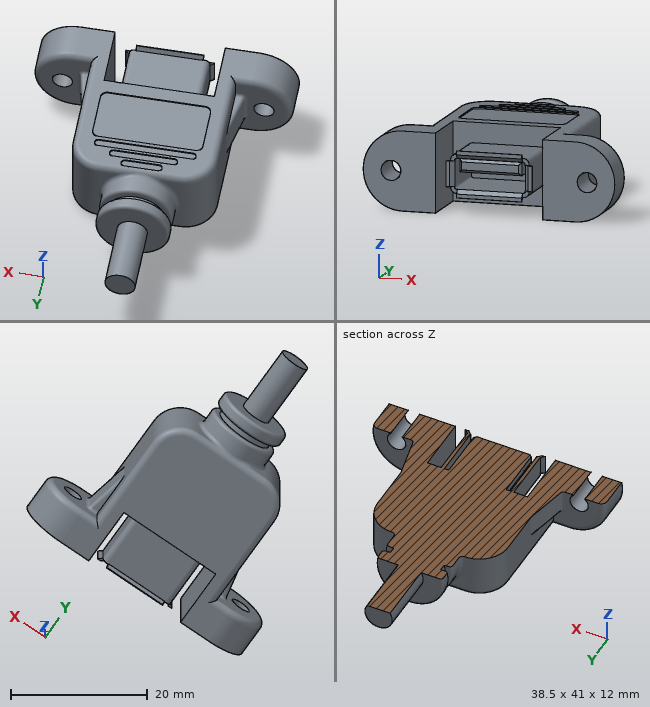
import cadquery as cq
import math


TOLERANCE = 0.001

HEIGHT = 12.0
FLANGE_WIDTH = 38.5
FLANGE_THICKNESS = 5.7
BODY_WIDTH = 21.5
BODY_END = 25.0
SHOULDER_RADIUS = 4.7
EDGE_FILLET = 1.0
HOLE_SPACING = 30.0
HOLE_DIAMETER = 3.0
BAY_WIDTH = 16.4
BAY_DEPTH = 9.0

GUSSET_ANGLE = 12.0
GUSSET_BASE = 1.5
GUSSET_HEIGHT = 5.3
GUSSET_EDGE_FILLET = 0.5
GUSSET_ROOT_FILLET = 0.5

COLLAR_DIAMETER = 11.0
COLLAR_END = 28.0
COLLAR_FILLET = 0.5
COLLAR_ROOT_FILLET = 0.6
NECK_DIAMETER = 8.7
RING_START = 29.0
RING_END = 31.0
CABLE_DIAMETER = 4.5
CABLE_END = 41.0

RECESS_DEPTH = 0.2
PANEL_WIDTH = BAY_WIDTH
PANEL_LENGTH = 8.2
PANEL_CENTER = 15.15
PANEL_RADIUS = 1.0
GRIP_WIDTH = 1.1
GRIP_LENGTHS = (15.1, 10.1, 6.1)
GRIP_FIRST = 20.35
GRIP_PITCH = 1.5

SHELL_WIDTH = 12.0
SHELL_HEIGHT = 5.85
SHELL_WALL = 0.6
SHELL_RADIUS = 0.85
CAVITY_RADIUS = 0.35
LIP_SETBACK = 1.0
SHELL_FRONT = 0.45
LIP_LENGTH = 0.55
LIP_EDGE = 0.1
TONGUE_WIDTH = 9.5
TONGUE_THICKNESS = 2.0
TONGUE_CENTER_Z = 1.2
TONGUE_FRONT = 0.6
TONGUE_CHAMFER = 0.4


def box_between(x_size, y_start, y_end, z_size):
    """Box centred on X and Z, spanning y_start to y_end."""
    return cq.Workplane("XY").box(x_size, y_end - y_start, z_size).translate((0, (y_start + y_end) / 2, 0))


def rod(diameter, y_start, y_end):
    """Cylinder along Y."""
    length = y_end - y_start
    return cq.Workplane("XZ", origin=(0, y_start, 0)).circle(diameter / 2).extrude(-length)


def lies_at_y(edge, y):
    """True if the whole edge lies in the plane Y = y."""
    box = edge.BoundingBox()
    return abs(box.ymin - y) < TOLERANCE and abs(box.ymax - y) < TOLERANCE


def is_beside_body(edge):
    """True if the edge is centred outside the sides of the body."""
    return abs(edge.Center().x) > BODY_WIDTH / 2 + TOLERANCE


def make_housing():
    """Rounded body on a full-round flange, with the rims of the body and flange rounded."""
    body = box_between(BODY_WIDTH, 0, BODY_END, HEIGHT)
    body = body.edges("|Z and >Y").fillet(SHOULDER_RADIUS)
    flange = cq.Workplane("XZ").slot2D(FLANGE_WIDTH, HEIGHT).extrude(-FLANGE_THICKNESS)
    housing = body.union(flange).clean()
    rim_edges = []
    for edge in housing.edges().vals():
        center = edge.Center()
        on_top_or_bottom = abs(abs(center.z) - HEIGHT / 2) < TOLERANCE
        on_body_rim = on_top_or_bottom and center.y > FLANGE_THICKNESS + TOLERANCE
        on_flange_rim = lies_at_y(edge, FLANGE_THICKNESS) and is_beside_body(edge)
        if on_body_rim or on_flange_rim:
            rim_edges.append(edge)
    return housing.newObject(rim_edges).fillet(EDGE_FILLET)


def make_gusset():
    """Sloped rib on the +X side of the body, rounded along its outer edges."""
    tan_slope = math.tan(math.radians(GUSSET_ANGLE))
    wall = BODY_WIDTH / 2
    inside = wall - EDGE_FILLET
    start = FLANGE_THICKNESS - EDGE_FILLET
    tip = FLANGE_THICKNESS + GUSSET_BASE / tan_slope
    outline = [
        (inside, start),
        (wall + (tip - start) * tan_slope, start),
        (inside, tip + EDGE_FILLET / tan_slope),
    ]
    gusset = cq.Workplane("XY").polyline(outline).close().extrude(GUSSET_HEIGHT / 2, both=True)
    return gusset.edges("not(|X or |Y or |Z)").fillet(GUSSET_EDGE_FILLET)


def add_gussets(housing):
    """Add both gussets and round their roots on the flanges."""
    gusset = make_gusset()
    housing = housing.union(gusset).union(gusset.mirror("YZ"))
    root_edges = []
    for edge in housing.edges().vals():
        on_flange = lies_at_y(edge, FLANGE_THICKNESS) and is_beside_body(edge)
        at_gusset = abs(edge.Center().z) < GUSSET_HEIGHT / 2 + TOLERANCE
        if on_flange and at_gusset:
            root_edges.append(edge)
    return housing.newObject(root_edges).fillet(GUSSET_ROOT_FILLET)


def add_collar(housing):
    """Add the collar behind the body and blend its root into the end of the body."""
    housing = housing.union(rod(COLLAR_DIAMETER, BAY_DEPTH, COLLAR_END))
    radius = COLLAR_DIAMETER / 2
    root_edges = []
    for edge in housing.edges().vals():
        box = edge.BoundingBox()
        at_root = box.ymin > BODY_END - EDGE_FILLET + TOLERANCE and box.ymax < BODY_END + TOLERANCE
        ends = (edge.startPoint(), edge.endPoint())
        on_collar = all(abs(math.hypot(p.x, p.z) - radius) < TOLERANCE for p in ends)
        if at_root and on_collar:
            root_edges.append(edge)
    housing = housing.newObject(root_edges).fillet(COLLAR_ROOT_FILLET)
    return housing.faces(">Y").edges().fillet(COLLAR_FILLET)


def make_cable():
    """Neck, rounded ring and cable, all along Y."""
    neck = rod(NECK_DIAMETER, COLLAR_END, RING_END)
    ring = rod(COLLAR_DIAMETER, RING_START, RING_END).edges().fillet(COLLAR_FILLET)
    cable = rod(CABLE_DIAMETER, RING_END, CABLE_END)
    return neck.union(ring).union(cable)


def make_recesses():
    """Label panel and grip slots to cut from the top face."""
    floor = cq.Workplane("XY", origin=(0, 0, HEIGHT / 2 - RECESS_DEPTH))
    recesses = floor.center(0, PANEL_CENTER).rect(PANEL_WIDTH, PANEL_LENGTH).extrude(RECESS_DEPTH)
    recesses = recesses.edges("|Z").fillet(PANEL_RADIUS)
    for index, length in enumerate(GRIP_LENGTHS):
        slot = floor.center(0, GRIP_FIRST + index * GRIP_PITCH).slot2D(length, GRIP_WIDTH)
        recesses = recesses.union(slot.extrude(RECESS_DEPTH))
    return recesses


def on_shell_walls(profile):
    """Repeat a profile, drawn for a wall whose outer face is at X = 0, along all four shell walls."""
    walls = (
        (SHELL_WIDTH / 2, SHELL_HEIGHT, 0),
        (SHELL_HEIGHT / 2, SHELL_WIDTH, 90),
        (SHELL_WIDTH / 2, SHELL_HEIGHT, 180),
        (SHELL_HEIGHT / 2, SHELL_WIDTH, 270),
    )
    pieces = cq.Workplane("XY")
    for reach, wall_length, angle in walls:
        half_length = wall_length / 2 - LIP_SETBACK
        piece = cq.Workplane("XY").polyline(profile).close().extrude(half_length, both=True)
        piece = piece.translate((reach, 0, 0)).rotate((0, 0, 0), (0, 1, 0), angle)
        pieces = pieces.add(piece)
    return pieces.combine()


def make_receptacle():
    """USB shell with four flared lips and the contact tongue inside."""
    shell = box_between(SHELL_WIDTH, SHELL_FRONT, BAY_DEPTH, SHELL_HEIGHT)
    shell = shell.edges("|Y").fillet(SHELL_RADIUS)
    cavity = box_between(
        SHELL_WIDTH - 2 * SHELL_WALL, SHELL_FRONT, BAY_DEPTH, SHELL_HEIGHT - 2 * SHELL_WALL
    )
    cavity = cavity.edges("|Y").fillet(CAVITY_RADIUS)

    lip_profile = [
        (0, 0),
        (SHELL_WALL, 0),
        (SHELL_WALL, LIP_EDGE),
        (0, LIP_LENGTH),
        (-SHELL_WALL, SHELL_WALL),
    ]
    lead_in_profile = [(0, 0), (-SHELL_WALL, 0), (-SHELL_WALL, SHELL_WALL)]
    receptacle = shell.cut(cavity).union(on_shell_walls(lip_profile))
    receptacle = receptacle.cut(on_shell_walls(lead_in_profile))

    tongue = box_between(TONGUE_WIDTH, TONGUE_FRONT, BAY_DEPTH, TONGUE_THICKNESS)
    tongue = tongue.faces("<Y").chamfer(TONGUE_CHAMFER)
    return receptacle.union(tongue.translate((0, 0, TONGUE_CENTER_Z)))


def make_mounting_holes():
    """Through holes in the two flanges."""
    hole = rod(HOLE_DIAMETER, 0, FLANGE_THICKNESS)
    offset = HOLE_SPACING / 2
    return hole.translate((offset, 0, 0)).union(hole.translate((-offset, 0, 0)))


result = add_collar(add_gussets(make_housing()))
result = result.cut(box_between(BAY_WIDTH, 0, BAY_DEPTH, HEIGHT))
result = result.cut(make_mounting_holes()).cut(make_recesses())
result = result.union(make_cable()).union(make_receptacle())